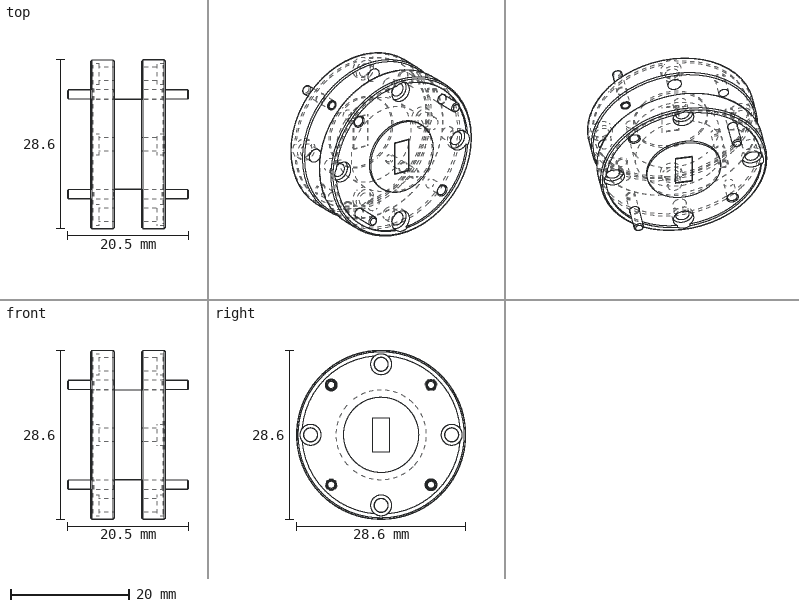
import cadquery as cq
import math

flange_dia = 28.57
flange_thickness = 4.05
body_length = 12.69
hub_dia = 15.23
rim_chamfer = 0.25

ring_outer_dia = 26.75
ring_inner_dia = 12.7
ring_depth = 0.43

window_width = 2.85
window_height = 5.7
window_depth = 0.17

pitch_radius = 11.9
bolt_hole_dia = 2.3
counterbore_dia = 3.55
counterbore_depth = 1.43
open_hole_dia = 1.65
open_hole_chamfer = 0.17

pin_dia = 1.6
pin_chamfer = 0.2
pin_hole_chamfer = 0.09
overall_length = 20.45

outer_face = body_length / 2
inner_face = outer_face - flange_thickness
ring_floor = outer_face - ring_depth
pin_tip = overall_length / 2

bolt_angles = [0, 90, 180, 270]
pin_angles = [45, 225]
open_angles = [135, 315]


def on_pitch_circle(angles):
    """Points in the YZ plane on the pitch circle, at the given angles in degrees."""
    return [
        (pitch_radius * math.cos(math.radians(a)), pitch_radius * math.sin(math.radians(a)))
        for a in angles
    ]


def cylinders(points, diameter, start, end):
    """Cylinders along X from start to end, centred on the given (Y, Z) points."""
    return (
        cq.Workplane("YZ", origin=(start, 0, 0))
        .pushPoints(points)
        .circle(diameter / 2)
        .extrude(end - start)
    )


def on_other_end(shape):
    """The same shape on the opposite end, half a turn about Z."""
    return shape.rotate((0, 0, 0), (0, 0, 1), 180)


def countersunk_hole(point, diameter, chamfer):
    """Cutter for a dowel hole through the flange, chamfered where it meets the ring floor."""
    countersink = cq.Solid.makeCone(
        diameter / 2,
        diameter / 2 + chamfer,
        chamfer,
        cq.Vector(ring_floor - chamfer, *point),
        cq.Vector(1, 0, 0),
    )
    return cylinders([point], diameter, inner_face, ring_floor).union(cq.Workplane(obj=countersink))


def make_flange():
    """The +X flange with all of its holes and recesses."""
    flange = cylinders([(0, 0)], flange_dia, inner_face, outer_face).edges().chamfer(rim_chamfer)

    ring = cylinders([(0, 0)], ring_outer_dia, ring_floor, outer_face)
    ring = ring.cut(cylinders([(0, 0)], ring_inner_dia, ring_floor, outer_face))
    flange = flange.cut(ring)

    window = (
        cq.Workplane("YZ", origin=(outer_face - window_depth, 0, 0))
        .rect(window_width, window_height)
        .extrude(window_depth)
    )
    flange = flange.cut(window)

    bolt_points = on_pitch_circle(bolt_angles)
    flange = flange.cut(cylinders(bolt_points, bolt_hole_dia, inner_face, outer_face))
    flange = flange.cut(cylinders(bolt_points, counterbore_dia, outer_face - counterbore_depth, outer_face))

    for point in on_pitch_circle(open_angles):
        flange = flange.cut(countersunk_hole(point, open_hole_dia, open_hole_chamfer))
    for point in on_pitch_circle(pin_angles):
        flange = flange.cut(countersunk_hole(point, pin_dia, pin_hole_chamfer))

    return flange


def make_pins():
    """The two dowel pins of the +X flange, chamfered at both ends."""
    return cylinders(on_pitch_circle(pin_angles), pin_dia, inner_face, pin_tip).edges().chamfer(pin_chamfer)


def make_housing():
    """Both flanges joined by the hub, as one solid."""
    hub = cylinders([(0, 0)], hub_dia, -inner_face, inner_face)
    flange = make_flange()
    return hub.union(flange).union(on_other_end(flange))


housing = make_housing()
pins = make_pins()
opposite_pins = on_other_end(pins)

result = cq.Compound.makeCompound([housing.val(), *pins.vals(), *opposite_pins.vals()])